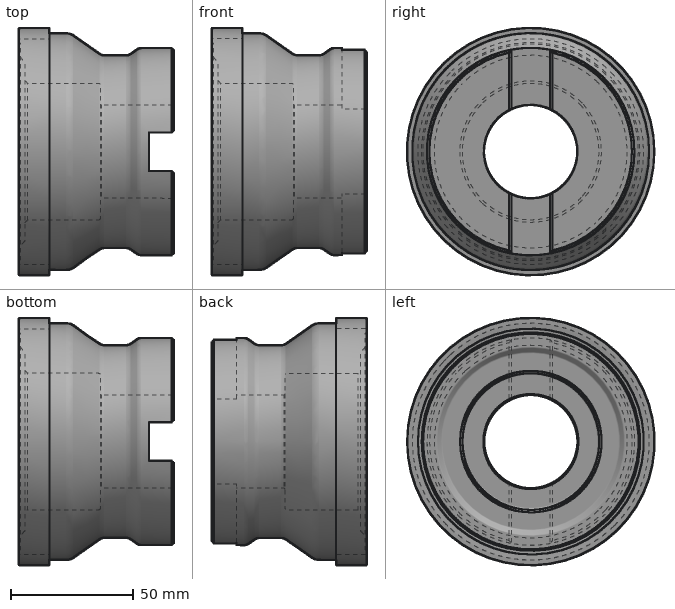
import cadquery as cq
import math

total_length = 63.5
ring_radius = 50.7
ring_width = 12.6
ring_inner_radius = 46.3

ring_edge_round = 0.6
ring_dish_depth = 0.2

shoulder_radius = 97.1 / 2
neck_radius = 79.0 / 2
spigot_radius = 85.0 / 2
cone_angle = 35.0
shoulder_end = 21.1
neck_end = 45.0
shoulder_round = 5.0
neck_round = 3.0
spigot_chamfer = 1.0

face_depth = 0.8
lip_inner_radius = 44.7
lip_floor_radius = 44.1
lip_dish_depth = 0.1
recess_radius = 38.5
recess_floor_radius = 36.4
recess_depth = 1.8
recess_round = 0.8

bore_radius = 56.0 / 2
bore_chamfer = 1.0
bore_depth = 33.5
bore_floor_round = 0.8
hole_radius = 38.1 / 2
hole_chamfer = 0.4

match_tolerance = 0.01

slot_width = 15.7
slot_depth = 10.0
slot_entry_chamfer = 1.0


def revolve_about_x(outline):
    return outline.close().revolve(360, (0, 0, 0), (1, 0, 0))


def circle_edges(body, x, radius):
    """Circular edges of the given radius, centred on the X axis at x."""
    return body.edges("%CIRCLE").filter(
        lambda edge: abs(edge.radius() - radius) < match_tolerance
        and abs(edge.Center().x - x) < match_tolerance
    )


def make_ring():
    """Seal ring, alike on both ends, with slightly dished end faces."""
    ring = revolve_about_x(
        cq.Workplane("XY")
        .moveTo(ring_dish_depth, ring_inner_radius)
        .lineTo(0, shoulder_radius)
        .lineTo(0, ring_radius)
        .lineTo(ring_width, ring_radius)
        .lineTo(ring_width, shoulder_radius)
        .lineTo(ring_width - ring_dish_depth, ring_inner_radius)
    )
    for x in (0, ring_width):
        ring = circle_edges(ring, x, ring_radius).fillet(ring_edge_round)
    return ring


def make_housing_blank():
    """Revolved housing with its recessed face, stepped bore and waisted outside."""
    slope = math.tan(math.radians(cone_angle))
    neck_start = shoulder_end + (shoulder_radius - neck_radius) / slope
    spigot_start = neck_end + (spigot_radius - neck_radius) / slope
    lip_depth = ring_dish_depth + lip_dish_depth
    recess_floor = face_depth + recess_depth

    blank = revolve_about_x(
        cq.Workplane("XY")
        .moveTo(ring_dish_depth, ring_inner_radius)
        .lineTo(ring_width - ring_dish_depth, ring_inner_radius)
        .lineTo(ring_width, shoulder_radius)
        .lineTo(shoulder_end, shoulder_radius)
        .lineTo(neck_start, neck_radius)
        .lineTo(neck_end, neck_radius)
        .lineTo(spigot_start, spigot_radius)
        .lineTo(total_length, spigot_radius)
        .lineTo(total_length, hole_radius)
        .lineTo(bore_depth, hole_radius)
        .lineTo(bore_depth, bore_radius)
        .lineTo(recess_floor, bore_radius)
        .lineTo(recess_floor, recess_floor_radius)
        .lineTo(face_depth, recess_radius)
        .lineTo(face_depth, lip_floor_radius)
        .lineTo(lip_depth, lip_inner_radius)
    )
    blank = circle_edges(blank, shoulder_end, shoulder_radius).fillet(shoulder_round)
    for x, radius in (
        (neck_start, neck_radius),
        (neck_end, neck_radius),
        (spigot_start, spigot_radius),
    ):
        blank = circle_edges(blank, x, radius).fillet(neck_round)
    for x, radius in ((face_depth, recess_radius), (recess_floor, recess_floor_radius)):
        blank = circle_edges(blank, x, radius).fillet(recess_round)
    blank = circle_edges(blank, total_length, spigot_radius).chamfer(spigot_chamfer)
    blank = circle_edges(blank, recess_floor, bore_radius).chamfer(bore_chamfer)
    blank = circle_edges(blank, bore_depth, bore_radius).fillet(bore_floor_round)
    return circle_edges(blank, bore_depth, hole_radius).chamfer(hole_chamfer)


def make_slot_cutter():
    """Slot across the spigot end along Z, flared at its entry."""
    slot_floor = total_length - slot_depth
    flare_start = total_length - slot_entry_chamfer
    half_width = slot_width / 2
    half_entry = half_width + slot_entry_chamfer
    return (
        cq.Workplane("XY")
        .moveTo(slot_floor, -half_width)
        .lineTo(flare_start, -half_width)
        .lineTo(total_length, -half_entry)
        .lineTo(total_length, half_entry)
        .lineTo(flare_start, half_width)
        .lineTo(slot_floor, half_width)
        .close()
        .extrude(spigot_radius, both=True)
    )


ring = make_ring()
housing = make_housing_blank().cut(make_slot_cutter())

result = cq.Compound.makeCompound([housing.val(), ring.val()])